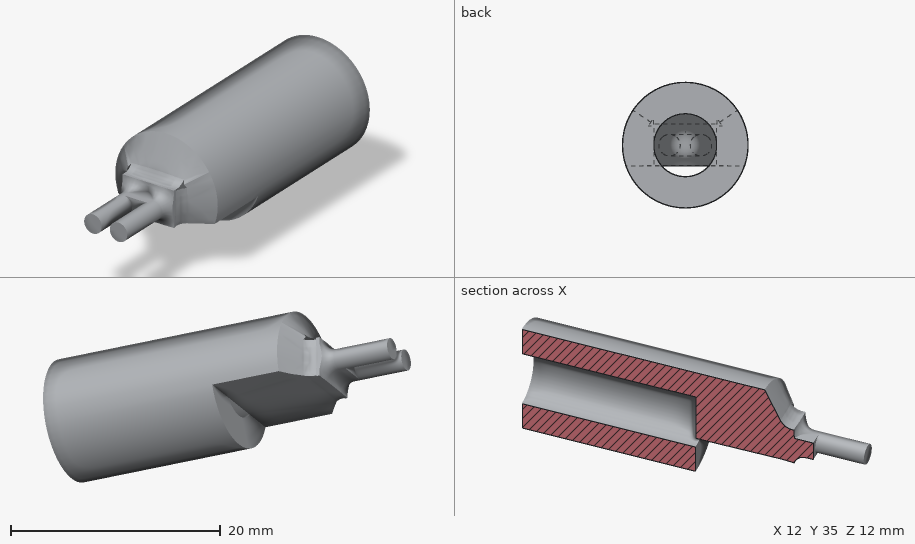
import cadquery as cq
import math

body_radius = 6.0
body_length = 25.0
bore_diameter = 6.0

half_cut_start = 17.9
flat_level = -2.0

neck_width = 6.0
neck_height = 4.0
taper_length = 2.0
neck_length = 1.0
blend_radius = 1.35

pin_diameter = 2.05
pin_spacing = 3.0
flare_radius = 1.25
web_end = 30.0
total_length = 35.0

taper_end = body_length + taper_length
neck_end = taper_end + neck_length
corner_angle = math.atan2(neck_height, neck_width)


def section(distance):
    """Workplane across the axis, at a distance from the open end, facing the pins."""
    return cq.Workplane("XZ").workplane(offset=distance)


def on_body_circle(angle):
    return (body_radius * math.cos(angle), body_radius * math.sin(angle))


def make_taper():
    """Loft from the body circle, split toward the neck corners, to the neck rectangle."""
    right_top = on_body_circle(corner_angle)
    left_top = on_body_circle(math.pi - corner_angle)
    left_bottom = on_body_circle(math.pi + corner_angle)
    right_bottom = on_body_circle(-corner_angle)
    half_width = neck_width / 2
    half_height = neck_height / 2
    return (
        section(body_length)
        .moveTo(*right_top)
        .threePointArc((0, body_radius), left_top)
        .threePointArc((-body_radius, 0), left_bottom)
        .threePointArc((0, -body_radius), right_bottom)
        .threePointArc((body_radius, 0), right_top)
        .close()
        .workplane(offset=taper_length)
        .moveTo(half_width, half_height)
        .lineTo(-half_width, half_height)
        .lineTo(-half_width, -half_height)
        .lineTo(half_width, -half_height)
        .close()
        .loft(ruled=True)
    )


def edges_near(distance, reach):
    """Selector for the edges at or near the neck outline, around a distance from the open end."""
    return cq.selectors.BoxSelector(
        (-neck_width, -distance - reach, -neck_height),
        (neck_width, -distance + reach, neck_height),
    )


def make_nose():
    """Taper and neck, blended along the edges where they meet."""
    neck = section(taper_end).rect(neck_width, neck_height).extrude(neck_length)
    joint = edges_near(taper_end, neck_length / 4)
    return make_taper().union(neck).edges(joint).fillet(blend_radius)


def make_flare(pin_profile):
    """Root of a pin profile, flared onto the neck end and trimmed to the neck outline."""
    plate_margin = neck_width
    plate = (
        section(taper_end)
        .rect(neck_width + 2 * plate_margin, neck_height + 2 * plate_margin)
        .extrude(neck_length)
    )
    flared = plate.union(pin_profile.extrude(2 * flare_radius))
    root = edges_near(neck_end, flare_radius / 4)
    outline = section(neck_end).rect(neck_width, neck_height).extrude(flare_radius)
    return flared.edges(root).fillet(flare_radius).intersect(outline)


def make_pin_roots():
    """Round flares that meet in a crease on top, joined by a smooth flare between the pins below."""
    pin_x = pin_spacing / 2
    below_middle = (
        section(neck_end)
        .center(0, -neck_height / 4)
        .rect(pin_spacing, neck_height / 2)
        .extrude(flare_radius)
    )
    right_side = (
        section(neck_end)
        .center(neck_width / 4, 0)
        .rect(neck_width / 2, neck_height)
        .extrude(flare_radius)
    )
    both_pins = section(neck_end).slot2D(pin_spacing + pin_diameter, pin_diameter)
    lower_flare = make_flare(both_pins).intersect(below_middle)
    right_pin = section(neck_end).center(pin_x, 0).circle(pin_diameter / 2)
    right_flare = make_flare(right_pin).intersect(right_side).cut(below_middle)
    return right_flare.union(right_flare.mirror("YZ")).union(lower_flare)


def make_web():
    """Flat-sided plate that fills the gap between the pins near the neck."""
    return section(neck_end).rect(pin_spacing, pin_diameter).extrude(web_end - neck_end)


def make_pins():
    return (
        section(neck_end)
        .pushPoints([(-pin_spacing / 2, 0), (pin_spacing / 2, 0)])
        .circle(pin_diameter / 2)
        .extrude(total_length - neck_end)
    )


def make_underside_cut():
    """Everything below the flat level, ahead of the cut start."""
    depth = body_radius + flat_level
    return (
        section(half_cut_start)
        .center(0, flat_level - depth / 2)
        .rect(2 * body_radius, depth)
        .extrude(total_length - half_cut_start)
    )


body = section(0).circle(body_radius).extrude(body_length)
bore = section(0).circle(bore_diameter / 2).extrude(half_cut_start)

result = (
    body.union(make_nose())
    .union(make_pin_roots())
    .union(make_web())
    .union(make_pins())
    .cut(make_underside_cut())
    .cut(bore)
)